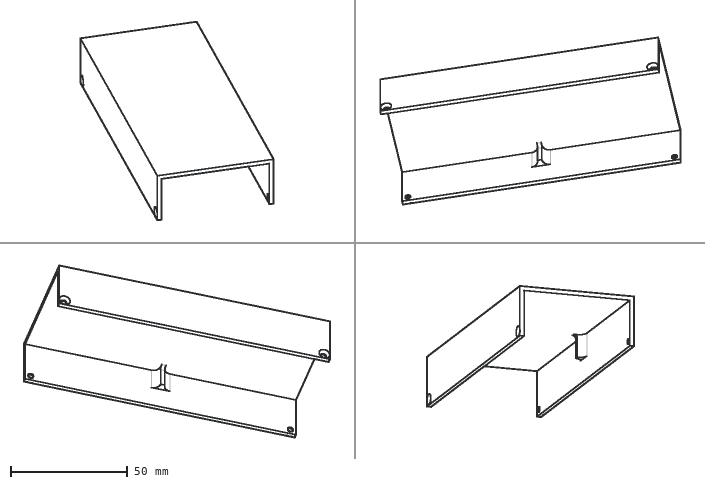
import cadquery as cq
import math

length = 121.92
width = 52.07
height = 22.23
wall = 1.905

roof = height - wall
inner_half_width = width / 2 - wall

hole_diameter = 2.39
sink_diameter = 2 * hole_diameter
sink_angle = 82
hole_inset = 2.54

rib_thickness = wall
rib_depth = 10.16
flare_radius = 3.175
roof_blend = 1.5875
free_edge = inner_half_width - flare_radius

arc_share = 1 - math.sqrt(0.5)


def make_channel():
    """Flat roof with two side walls, open at both ends and below."""
    body = cq.Workplane("XY").box(length, width, height, centered=(True, True, False))
    cavity = cq.Workplane("XY").box(
        length, 2 * inner_half_width, roof, centered=(True, True, False)
    )
    return body.cut(cavity)


def make_flared_rib():
    """Rib on the +Y wall that flares out along the wall on both of its faces."""
    half_thickness = rib_thickness / 2
    half_foot = half_thickness + flare_radius
    arc_offset = flare_radius * arc_share
    arc_x = half_thickness + arc_offset
    arc_y = inner_half_width - arc_offset
    return (
        cq.Workplane("XY", origin=(0, 0, roof - rib_depth))
        .moveTo(-half_thickness, free_edge)
        .lineTo(half_thickness, free_edge)
        .threePointArc((arc_x, arc_y), (half_foot, inner_half_width))
        .lineTo(half_foot, width / 2)
        .lineTo(-half_foot, width / 2)
        .lineTo(-half_foot, inner_half_width)
        .threePointArc((-arc_x, arc_y), (-half_thickness, free_edge))
        .close()
        .extrude(rib_depth)
    )


def make_roof_blend():
    """Concave fillet strip in the corner between the rib's free edge and the roof."""
    arc_offset = roof_blend * arc_share
    return (
        cq.Workplane("YZ", origin=(-rib_thickness / 2, 0, 0))
        .moveTo(free_edge, roof)
        .lineTo(free_edge - roof_blend, roof)
        .threePointArc(
            (free_edge - arc_offset, roof - arc_offset),
            (free_edge, roof - roof_blend),
        )
        .close()
        .extrude(rib_thickness)
    )


def drill_side_wall(body, face):
    """Two countersunk holes through one side wall, sunk from outside."""
    hole_x = length / 2 - hole_inset
    return (
        body.faces(face)
        .workplane(origin=(0, 0, hole_inset))
        .pushPoints([(-hole_x, 0), (hole_x, 0)])
        .cskHole(hole_diameter, sink_diameter, sink_angle, depth=wall)
    )


rib = make_flared_rib().union(make_roof_blend())
result = make_channel().union(rib).union(rib.mirror("XZ"))
for outer_face in ("<Y", ">Y"):
    result = drill_side_wall(result, outer_face)